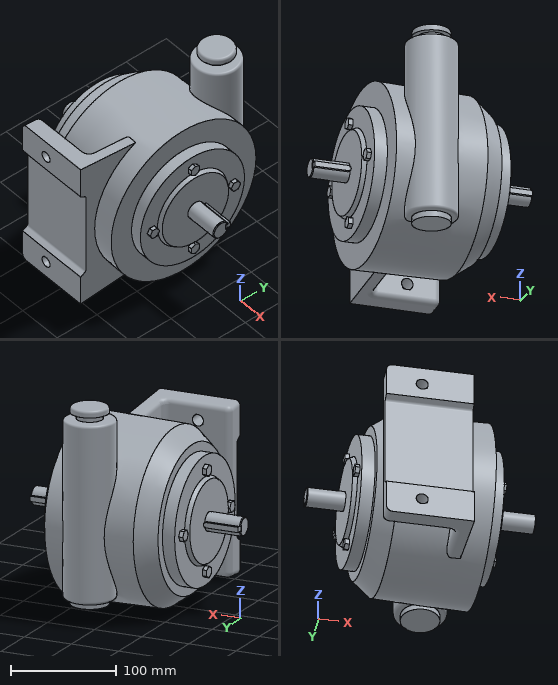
import cadquery as cq
import math

drum_half_length = 56.2
drum_rim_radius = 90.7
drum_shoulder_radius = 89.0
drum_nose_radius = 74.7
nose_length = 19.3

flange_radius = 65.1
flange_thickness = 13.0
hub_base_radius = 43.8
hub_face_radius = 41.5
hub_height = 4.5
bolt_circle_radius = 50.7
bolt_count = 4
bolt_corner_diameter = 11.8

shaft_length = 222.2
shaft_radius = 9.5
shaft_chamfer = 1.0
key_width = 5.3
key_top = 12.2
key_bottom = 6.2

tube_x = 15.5
tube_y = 76.0
tube_radius = 25.8
tube_bottom = -67.0
tube_top = 112.2
tube_rounding = 3.0
plug_radius = 19.0
plug_length = 6.0
neck_radius = 13.0
neck_length = 6.2
cap_thickness = 6.7

foot_tip_x = -53.8
foot_heel_x = 31.5
foot_base_y = -107.8
foot_plate_thickness = 21.1
foot_web_thickness = 14.7
foot_web_end_y = -26.7
foot_half_height = 87.3
foot_taper_angle = 5.0
foot_inner_radius = 6.7
foot_edge_radius = 6.0
recess_half_height = 52.2
recess_depth = 6.7
recess_floor_half_height = 48.5
recess_corner_radius = 3.3
mount_hole_x = -19.1
mount_hole_z = 68.2
mount_hole_radius = 5.8

flange_face_x = drum_half_length + flange_thickness
hub_face_x = flange_face_x + hub_height


def cylinder_x(radius, start, length):
    return cq.Workplane("YZ").workplane(offset=start).circle(radius).extrude(length)


def cylinder_z(radius, start, length):
    return (
        cq.Workplane("XY", origin=(tube_x, tube_y, start)).circle(radius).extrude(length)
    )


def make_drum():
    profile = [
        (-drum_half_length, 0),
        (-drum_half_length, drum_nose_radius),
        (nose_length - drum_half_length, drum_shoulder_radius),
        (drum_half_length, drum_rim_radius),
        (drum_half_length, 0),
    ]
    return cq.Workplane("XY").polyline(profile).close().revolve(360, (0, 0), (1, 0))


def make_end():
    """Flange, hub and hexagon bolts of the +X end."""
    flange = cylinder_x(flange_radius, drum_half_length, flange_thickness)
    hub_taper = math.degrees(math.atan((hub_base_radius - hub_face_radius) / hub_height))
    hub = (
        cq.Workplane("YZ")
        .workplane(offset=flange_face_x)
        .circle(hub_base_radius)
        .extrude(hub_height, taper=hub_taper)
    )
    bolts = (
        cq.Workplane("YZ")
        .workplane(offset=flange_face_x)
        .polarArray(bolt_circle_radius, 0, 360, bolt_count)
        .polygon(6, bolt_corner_diameter)
        .extrude(hub_height)
    )
    return flange.union(hub).union(bolts)


def make_shaft():
    shaft = cylinder_x(shaft_radius, -shaft_length / 2, shaft_length)
    return shaft.faces("<X or >X").chamfer(shaft_chamfer)


def make_key_block(end_x):
    """Bar from the +X hub face to end_x, with a half-round end at the hub."""
    straight_start = hub_face_x + key_width / 2
    return (
        cq.Workplane("XZ", origin=(0, key_bottom, 0))
        .moveTo(end_x, -key_width / 2)
        .lineTo(straight_start, -key_width / 2)
        .threePointArc((hub_face_x, 0), (straight_start, key_width / 2))
        .lineTo(end_x, key_width / 2)
        .close()
        .extrude(key_bottom - key_top)
    )


def make_tube():
    cap_bottom = tube_top + neck_length
    tube = cylinder_z(tube_radius, tube_bottom, tube_top - tube_bottom)
    tube = tube.faces("<Z or >Z").edges().fillet(tube_rounding)
    plug = cylinder_z(plug_radius, tube_bottom - plug_length, plug_length)
    neck = cylinder_z(neck_radius, tube_top, neck_length)
    cap = cylinder_z(plug_radius, cap_bottom, cap_thickness)
    cap = cap.faces(">Z").edges().fillet(tube_rounding)
    return tube.union(plug).union(neck).union(cap)


def make_foot():
    plate_y = foot_base_y + foot_plate_thickness
    web_x = foot_heel_x - foot_web_thickness
    height = 2 * foot_half_height

    outline = [
        (foot_tip_x, foot_base_y),
        (foot_heel_x, foot_base_y),
        (foot_heel_x, foot_web_end_y),
        (web_x, foot_web_end_y),
        (web_x, plate_y),
        (foot_tip_x, plate_y),
    ]
    foot = cq.Workplane("XY").polyline(outline).close().extrude(height / 2, both=True)
    inner_corner = cq.selectors.NearestToPointSelector((web_x, plate_y, 0))
    foot = foot.edges("|Z").edges(inner_corner).fillet(foot_inner_radius)

    end_drop = (foot_web_end_y - foot_base_y) * math.tan(math.radians(foot_taper_angle))
    end_half_height = foot_half_height - end_drop
    wedge = (
        cq.Workplane("YZ")
        .polyline([
            (foot_base_y, -foot_half_height),
            (foot_web_end_y, -end_half_height),
            (foot_web_end_y, end_half_height),
            (foot_base_y, foot_half_height),
        ])
        .close()
        .extrude(height, both=True)
    )
    foot = foot.intersect(wedge)

    margin = 2.2
    tip_edges = foot.faces("<X").edges("not <Y")
    inner_edges = foot.edges(
        cq.selectors.BoxSelector(
            (foot_tip_x + margin, plate_y - margin, -height),
            (web_x + margin, foot_web_end_y - margin, height),
        )
    ).edges("not |Z")
    foot = foot.newObject(tip_edges.vals() + inner_edges.vals()).fillet(foot_edge_radius)

    floor_y = foot_base_y + recess_depth
    relief = (
        cq.Workplane("YZ")
        .polyline([
            (foot_base_y, -recess_half_height),
            (floor_y, -recess_floor_half_height),
            (floor_y, recess_floor_half_height),
            (foot_base_y, recess_half_height),
        ])
        .close()
        .extrude(height, both=True)
        .faces(">Y")
        .edges("|X")
        .fillet(recess_corner_radius)
    )

    holes = (
        cq.Workplane("XZ", origin=(0, foot_base_y, 0))
        .pushPoints([(mount_hole_x, mount_hole_z), (mount_hole_x, -mount_hole_z)])
        .circle(mount_hole_radius)
        .extrude(-foot_plate_thickness)
    )
    return foot.cut(relief).cut(holes)


end = make_end()
keyway = make_key_block(shaft_length / 2)
key = make_key_block(shaft_length / 2 - shaft_chamfer)
shaft = make_shaft().cut(keyway).cut(keyway.mirror("YZ"))
result = (
    make_drum()
    .union(end)
    .union(end.mirror("YZ"))
    .union(shaft)
    .union(key)
    .union(key.mirror("YZ"))
    .union(make_tube())
    .union(make_foot())
)